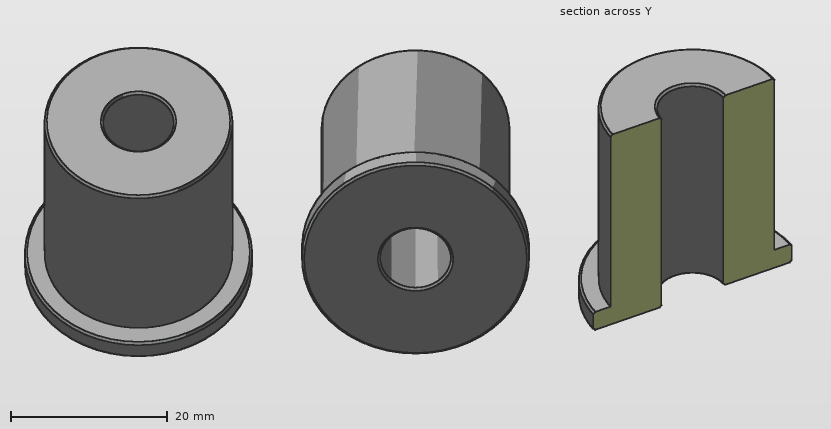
import cadquery as cq

total_height = 31.0
flange_diameter = 29.02
flange_thickness = 3.0
body_diameter = 24.0
bore_diameter = 9.0
edge_chamfer = 0.3

flange = (
    cq.Workplane("XY")
    .circle(flange_diameter / 2)
    .extrude(flange_thickness)
    .edges()
    .chamfer(edge_chamfer)
)

body = (
    cq.Workplane("XY")
    .circle(body_diameter / 2)
    .extrude(total_height)
    .faces(">Z")
    .edges()
    .chamfer(edge_chamfer)
)

bore = cq.Workplane("XY").circle(bore_diameter / 2).extrude(total_height)
bushing = flange.union(body).cut(bore)
bore_rims = cq.selectors.RadiusNthSelector(0)
result = bushing.edges("%CIRCLE").edges(bore_rims).chamfer(edge_chamfer)